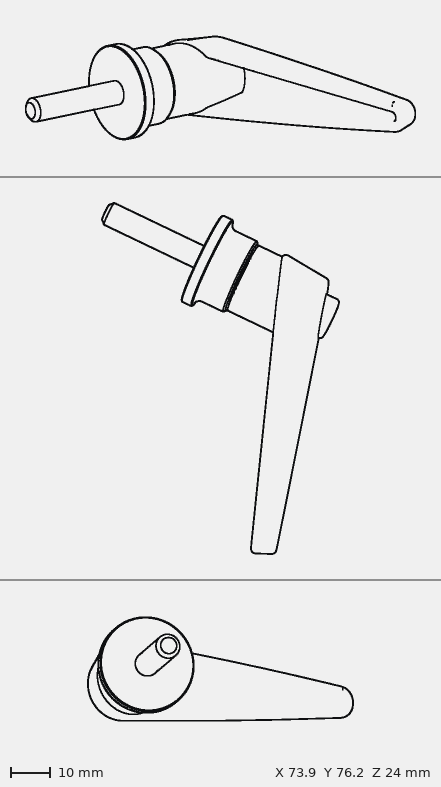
import cadquery as cq
import math


STUD_RADIUS = 3.05
STUD_LENGTH = 26.9
STUD_CHAMFER = 1.0
FLANGE_DIAMETER = 24.0
FLANGE_RADIUS = FLANGE_DIAMETER / 2
FLANGE_HEIGHT = 3.0
FLANGE_CHAMFER = 0.2
COLLAR_RADIUS = 9.85
COLLAR_TOP = 11.05
COLLAR_CHAMFER = 0.45
COLLAR_COVE = 2.1
COLLAR_COVE_FOOT = 1.5
NECK_RADIUS = 6.9
HUB_BOTTOM = 11.5

HUB_RADIUS = 9.1
BUTTON_RADIUS = 5.4
BUTTON_TOP = 35.9
BUTTON_FILLET = 0.85
HUB_CORE_TOP = 29.0

ARM_TOP_AT_AXIS = 33.55
ARM_TOP_ANGLE = 15.0
ARM_BOTTOM_AT_AXIS = 21.1
ARM_BOTTOM_ANGLE = 20.0
ARM_HUB_RADIUS = 9.85
ARM_HUB_DRAFT = 0.09
ARM_TIP_LEVEL = 42.6
ARM_TIP_RADIUS = 4.2
ARM_TIP_DRAFT = 0.15
ARM_TIP_X = 58.6
ARM_TIP_LEAN = 0.29
ARM_FILLET = 1.15
BLANK_BOTTOM = 13.7
BLANK_TOP = 51.9
TRIM_REACH = 91.5

POCKET_ROOF = 2.7
POCKET_TIP_X = 58.1
RIM_HALF_WIDTH = 7.1
RIM_TIP_RADIUS = 1.45
FLOOR_HALF_WIDTH = 4.3
FLOOR_TIP_RADIUS = 0.5
POCKET_FLOOR_FILLET = 0.5
RIM_FILLET = 0.6


def make_insert():
    """Revolve the stud, flange, coved collar and neck about the Y axis."""
    cove_start = COLLAR_RADIUS + COLLAR_COVE_FOOT
    cove_top = FLANGE_HEIGHT + COLLAR_COVE
    cove_mid = (
        cove_start - COLLAR_COVE_FOOT * math.sin(math.pi / 4),
        cove_top - COLLAR_COVE * math.sin(math.pi / 4),
    )
    return (
        cq.Workplane("XY")
        .moveTo(0, -STUD_LENGTH)
        .lineTo(STUD_RADIUS - STUD_CHAMFER, -STUD_LENGTH)
        .lineTo(STUD_RADIUS, -STUD_LENGTH + STUD_CHAMFER)
        .lineTo(STUD_RADIUS, 0)
        .lineTo(FLANGE_RADIUS - FLANGE_CHAMFER, 0)
        .lineTo(FLANGE_RADIUS, FLANGE_CHAMFER)
        .lineTo(FLANGE_RADIUS, FLANGE_HEIGHT - FLANGE_CHAMFER)
        .lineTo(FLANGE_RADIUS - FLANGE_CHAMFER, FLANGE_HEIGHT)
        .lineTo(cove_start, FLANGE_HEIGHT)
        .threePointArc(cove_mid, (COLLAR_RADIUS, cove_top))
        .lineTo(COLLAR_RADIUS, COLLAR_TOP - COLLAR_CHAMFER)
        .lineTo(COLLAR_RADIUS - COLLAR_CHAMFER, COLLAR_TOP)
        .lineTo(NECK_RADIUS, COLLAR_TOP)
        .lineTo(NECK_RADIUS, HUB_BOTTOM)
        .lineTo(0, HUB_BOTTOM)
        .close()
        .revolve(360, (0, 0), (0, 1))
    )


def plane_at(level, angle=0.0):
    """Plane crossing the Y axis at a level, rising towards +X by an angle; its local Y is +Z."""
    tilt = math.radians(angle)
    return cq.Plane(
        origin=(0, level, 0),
        xDir=(math.cos(tilt), math.sin(tilt), 0),
        normal=(math.sin(tilt), -math.cos(tilt), 0),
    )


def teardrop(plane, hub_radius, tip_radius, tip_distance):
    """Wire of a large hub arc and a small tip arc joined by their common tangents."""
    sine = (hub_radius - tip_radius) / tip_distance
    cosine = math.sqrt(1 - sine**2)
    tip_x = tip_distance + tip_radius * sine
    tip_z = tip_radius * cosine
    hub_x = hub_radius * sine
    hub_z = hub_radius * cosine
    return (
        cq.Workplane(plane)
        .moveTo(hub_x, -hub_z)
        .lineTo(tip_x, -tip_z)
        .threePointArc((tip_distance + tip_radius, 0), (tip_x, tip_z))
        .lineTo(hub_x, hub_z)
        .threePointArc((-hub_radius, 0), (hub_x, -hub_z))
        .close()
        .val()
    )


def arm_section(level):
    """Teardrop of the drafted arm at one level of Y."""
    above_tip = level - ARM_TIP_LEVEL
    return teardrop(
        plane_at(level),
        ARM_HUB_RADIUS - ARM_HUB_DRAFT * (level - ARM_BOTTOM_AT_AXIS),
        ARM_TIP_RADIUS - ARM_TIP_DRAFT * above_tip,
        ARM_TIP_X - ARM_TIP_LEAN * above_tip,
    )


def make_arm():
    """Loft the drafted teardrop, trim it between the sloping faces and round their edges."""
    sections = [arm_section(BLANK_BOTTOM), arm_section(BLANK_TOP)]
    blank = cq.Workplane(cq.Solid.makeLoft(sections, True))
    run_top = TRIM_REACH * math.tan(math.radians(ARM_TOP_ANGLE))
    run_bottom = TRIM_REACH * math.tan(math.radians(ARM_BOTTOM_ANGLE))
    below_top = (
        cq.Workplane("XY")
        .moveTo(-TRIM_REACH, ARM_TOP_AT_AXIS - run_top)
        .lineTo(TRIM_REACH, ARM_TOP_AT_AXIS + run_top)
        .lineTo(TRIM_REACH, -TRIM_REACH)
        .lineTo(-TRIM_REACH, -TRIM_REACH)
        .close()
        .extrude(TRIM_REACH / 2, both=True)
    )
    above_bottom = (
        cq.Workplane("XY")
        .moveTo(-TRIM_REACH, ARM_BOTTOM_AT_AXIS - run_bottom)
        .lineTo(TRIM_REACH, ARM_BOTTOM_AT_AXIS + run_bottom)
        .lineTo(TRIM_REACH, TRIM_REACH)
        .lineTo(-TRIM_REACH, TRIM_REACH)
        .close()
        .extrude(TRIM_REACH / 2, both=True)
    )
    arm = blank.intersect(below_top).intersect(above_bottom)
    return arm.faces(">Y or <Y").edges().fillet(ARM_FILLET)


def make_pocket():
    """Tapering pocket that opens on the bottom face of the arm and starts inside the hub."""
    rim = teardrop(
        plane_at(ARM_BOTTOM_AT_AXIS, ARM_BOTTOM_ANGLE),
        RIM_HALF_WIDTH,
        RIM_TIP_RADIUS,
        POCKET_TIP_X / math.cos(math.radians(ARM_BOTTOM_ANGLE)),
    )
    floor = teardrop(
        plane_at(ARM_TOP_AT_AXIS - POCKET_ROOF, ARM_TOP_ANGLE),
        FLOOR_HALF_WIDTH,
        FLOOR_TIP_RADIUS,
        POCKET_TIP_X / math.cos(math.radians(ARM_TOP_ANGLE)),
    )
    pocket = cq.Workplane(cq.Solid.makeLoft([rim, floor], True))
    floor_normal = plane_at(0, ARM_TOP_ANGLE).zDir
    floor_face = pocket.faces(cq.selectors.ParallelDirSelector(floor_normal))
    return floor_face.edges().fillet(POCKET_FLOOR_FILLET)


def cylinder(radius, bottom, top):
    """Cylinder about the Y axis between two levels."""
    return cq.Workplane("XZ", origin=(0, bottom, 0)).circle(radius).extrude(bottom - top)


def cut_pocket(arm):
    """Cut the pocket into the arm and round its rim."""
    arm = arm.cut(make_pocket())
    bottom_normal = plane_at(0, ARM_BOTTOM_ANGLE).zDir
    bottom_face = arm.faces(cq.selectors.ParallelDirSelector(bottom_normal)).val()
    rim_edges = bottom_face.innerWires()[0].Edges()
    return arm.newObject(rim_edges).fillet(RIM_FILLET)


def make_handle():
    """Join the pocketed arm with the hub column, which ends the pocket, and the button."""
    arm = make_arm()
    hub_column = arm.intersect(cylinder(HUB_RADIUS, HUB_BOTTOM, BUTTON_TOP))
    hub = cylinder(HUB_RADIUS, HUB_BOTTOM, HUB_CORE_TOP)
    button = cylinder(BUTTON_RADIUS, HUB_CORE_TOP, BUTTON_TOP).faces(">Y").edges().fillet(BUTTON_FILLET)
    return cut_pocket(arm).union(hub_column).union(hub).union(button)


insert = make_insert()
handle = make_handle()

result = cq.Compound.makeCompound([insert.val(), handle.val()])